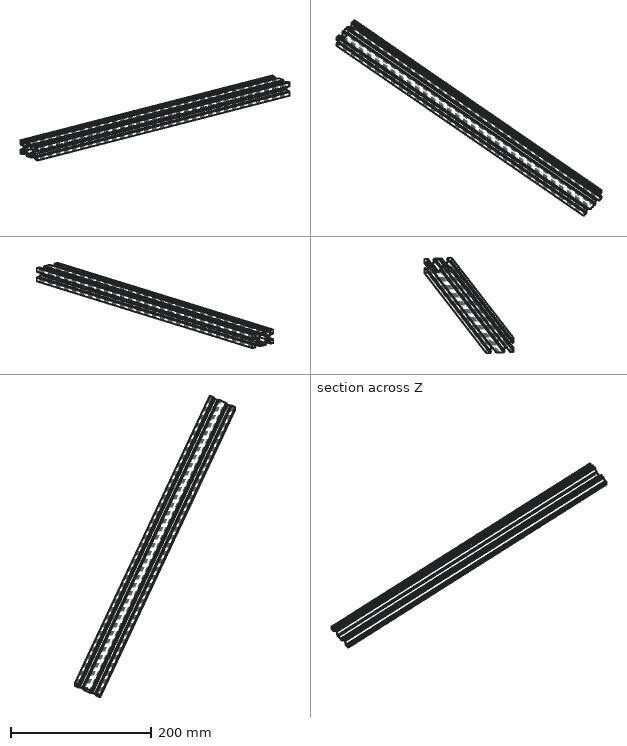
import cadquery as cq
import math

length = 460.0
width = 40.0
cell = width / 2
half_cell = cell / 2

lip_thickness = 2.0
slot_throat = 6.5
slot_mouth = 9.0
slot_inner_width = 11.0

core_half = 2.85
core_bore_diameter = 4.2
rib_thickness = 1.5

hollow_wall_x = 7.5
hollow_roof_half_width = 2.8
hollow_rib_thickness = 1.0


def slot_cutter(center_x, angle):
    """V-slot opening toward +Z in a cell, turned about the cell axis."""
    rib_offset = rib_thickness / math.sqrt(2)
    face = half_cell
    lip_z = half_cell - lip_thickness
    right_side = [
        (slot_mouth / 2, face),
        (slot_throat / 2, lip_z),
        (slot_inner_width / 2, lip_z),
        (slot_inner_width / 2, slot_inner_width / 2 + rib_offset),
        (core_half - rib_offset, core_half),
    ]
    left_side = [(-x, z) for x, z in reversed(right_side)]
    slot = cq.Workplane("XZ").polyline(right_side + left_side).close().extrude(length / 2, both=True)
    return slot.rotate((0, 0, 0), (0, 1, 0), angle).translate((center_x, 0, 0))


def core_bore(center_x):
    """Round hole through the core of one cell."""
    bore = cq.Workplane("XZ").circle(core_bore_diameter / 2).extrude(length / 2, both=True)
    return bore.translate((center_x, 0, 0))


def central_hollow():
    """Hollow between the cores, with 45-degree flanks parallel to the ribs."""
    flank_shift = hollow_rib_thickness * math.sqrt(2) - rib_thickness / math.sqrt(2)
    flank_start_z = half_cell - hollow_wall_x - flank_shift
    flank_end_z = half_cell - hollow_roof_half_width - flank_shift
    roof_z = half_cell - lip_thickness
    upper_right = [
        (hollow_wall_x, flank_start_z),
        (hollow_roof_half_width, flank_end_z),
        (hollow_roof_half_width, roof_z),
    ]
    upper = upper_right + [(-x, z) for x, z in reversed(upper_right)]
    lower = [(-x, -z) for x, z in upper]
    return cq.Workplane("XZ").polyline(upper + lower).close().extrude(length / 2, both=True)


result = cq.Workplane("XY").box(width, length, cell)
for side in (-1, 1):
    cell_x = side * half_cell
    for slot_angle in (0, 180, side * 90):
        result = result.cut(slot_cutter(cell_x, slot_angle))
    result = result.cut(core_bore(cell_x))
result = result.cut(central_hollow())